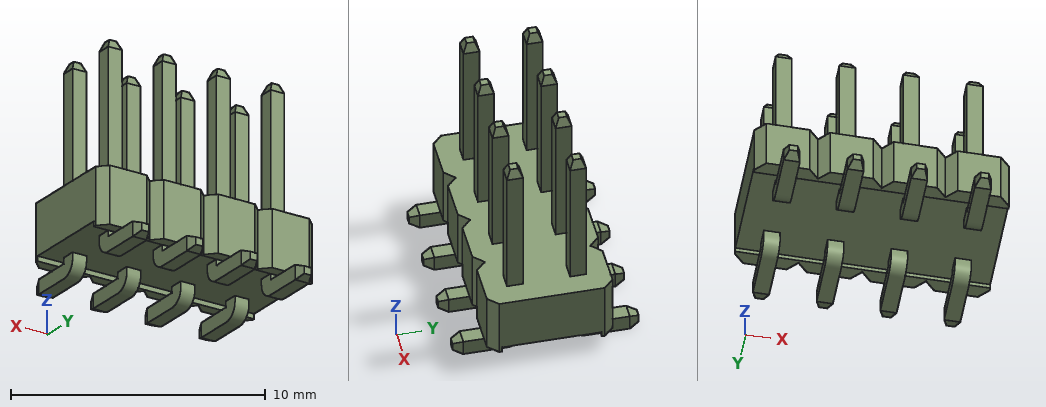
import cadquery as cq


columns = 4
body_length = 10.17
body_width = 5.06
body_height = 2.53
body_bottom = 0.69
overall_width = 7.5
overall_height = 9.2

pitch = body_length / columns

bevel = 0.41

channel_width = 4.01
channel_depth = 0.22

pin_size = 0.65
tip_size = 0.33
tip_length = 0.4
bend_radius = pin_size


def column_positions():
    """X positions of the pin columns."""
    return [(i - (columns - 1) / 2) * pitch for i in range(columns)]


def make_body():
    """Insulator: a row of bevelled blocks with a channel underneath."""
    half_pitch = pitch / 2
    half_width = body_width / 2
    flat_x = half_pitch - bevel
    flat_y = half_width - bevel
    block = (
        cq.Workplane("XY")
        .workplane(offset=body_bottom)
        .polyline([
            (flat_x, half_width),
            (half_pitch, flat_y),
            (half_pitch, -flat_y),
            (flat_x, -half_width),
            (-flat_x, -half_width),
            (-half_pitch, -flat_y),
            (-half_pitch, flat_y),
            (-flat_x, half_width),
        ])
        .close()
        .extrude(body_height)
    )
    body = cq.Workplane("XY")
    for x in column_positions():
        body = body.union(block.translate((x, 0, 0)))
    channel = (
        cq.Workplane("XY")
        .workplane(offset=body_bottom)
        .rect(body_length, channel_width)
        .extrude(channel_depth)
    )
    return body.cut(channel).clean()


def make_tip(plane):
    """Tapered square tip that grows outward along the normal of the plane."""
    return (
        cq.Workplane(plane)
        .rect(pin_size, pin_size)
        .workplane(offset=tip_length)
        .rect(tip_size, tip_size)
        .loft(ruled=True)
    )


def make_pin():
    """L-shaped pin of the -Y row at X = 0, with its foot pointing to -Y."""
    inner_y = -(pitch - pin_size) / 2
    outer_y = inner_y - pin_size
    shoulder_z = overall_height - tip_length
    foot_end_y = -overall_width / 2 + tip_length

    shank = (
        cq.Workplane("YZ")
        .moveTo(foot_end_y, 0)
        .lineTo(inner_y - bend_radius, 0)
        .radiusArc((inner_y, bend_radius), -bend_radius)
        .lineTo(inner_y, shoulder_z)
        .lineTo(outer_y, shoulder_z)
        .lineTo(outer_y, pin_size)
        .lineTo(foot_end_y, pin_size)
        .close()
        .extrude(pin_size / 2, both=True)
    )
    top_plane = cq.Plane(origin=(0, -pitch / 2, shoulder_z), xDir=(1, 0, 0), normal=(0, 0, 1))
    foot_plane = cq.Plane(origin=(0, foot_end_y, pin_size / 2), xDir=(1, 0, 0), normal=(0, -1, 0))
    return shank.union(make_tip(top_plane)).union(make_tip(foot_plane))


front_pin = make_pin()
back_pin = front_pin.mirror("XZ")

result = make_body()
for column_x in column_positions():
    result = result.union(front_pin.translate((column_x, 0, 0)))
    result = result.union(back_pin.translate((column_x, 0, 0)))